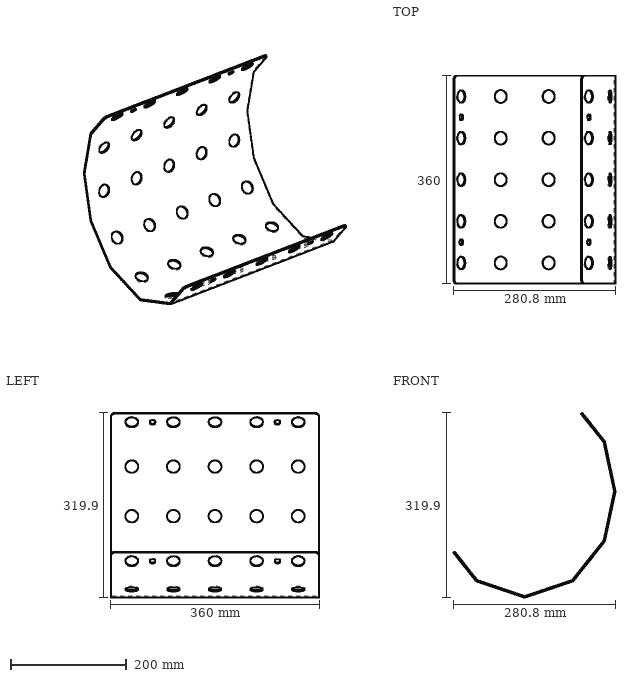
import cadquery as cq
import math

thickness = 3.0
length_y = 360.0
panel_width = 87.743
lip_overlap = 19.0
lip_width = panel_width / 2 + lip_overlap

bottom_tilt = 18.674
corner_tilt = 51.55
side_tilt = 77.967

inner_bend_radius = 3.0
outer_bend_radius = inner_bend_radius + thickness
lip_corner_radius = 7.0

large_hole_diameter = 22.0
large_hole_pitch = 72.0
large_hole_count = 5
small_hole_diameter = 10.0
small_hole_offset = 1.5 * large_hole_pitch
cutter_depth = 5 * thickness

panels = [
    (lip_width, -corner_tilt),
    (panel_width, -bottom_tilt),
    (panel_width, bottom_tilt),
    (panel_width, corner_tilt),
    (panel_width, side_tilt),
    (panel_width, 180 - side_tilt),
    (lip_width, 180 - corner_tilt),
]
directions = [math.radians(angle) for _, angle in panels]


def step(point, distance, angle):
    """Point reached by moving a distance along an angle in the XZ plane."""
    return (point[0] + distance * math.cos(angle), point[1] + distance * math.sin(angle))


def mid_surface_points():
    """Ends and bends of the mid-surface, in panel order."""
    bottom_half_span = panel_width * sum(
        math.sin(math.radians(tilt)) for tilt in (bottom_tilt, corner_tilt, side_tilt)
    )
    lowest_bend = (0.0, -bottom_half_span)
    left_bend = step(lowest_bend, -panel_width, directions[1])
    points = [step(left_bend, -lip_width, directions[0])]
    for (width, _), angle in zip(panels, directions):
        points.append(step(points[-1], width, angle))
    return points


def mitred_offset(points, offset):
    """Mid-surface points moved sideways; positive offsets go towards the inside."""
    before = [directions[0]] + directions
    after = directions + [directions[-1]]
    moved = []
    for point, angle_in, angle_out in zip(points, before, after):
        half_turn = (angle_out - angle_in) / 2
        inward = (angle_in + angle_out) / 2 + math.pi / 2
        moved.append(step(point, offset / math.cos(half_turn), inward))
    return moved


def edges_along_y(body, points):
    """The full-length edges of the body standing on the given XZ points."""
    tolerance = 0.01
    picked = [
        edge
        for edge in body.edges("|Y").vals()
        if any(math.dist((edge.Center().x, edge.Center().z), point) < tolerance for point in points)
    ]
    return body.newObject(picked)


def folded_sheet(points):
    """Bent sheet with rounded bends, centred on Y = 0."""
    inside = mitred_offset(points, thickness / 2)
    outside = mitred_offset(points, -thickness / 2)
    outline = cq.Workplane("XZ").polyline(inside + outside[::-1]).close()
    sheet = outline.extrude(length_y / 2, both=True)
    sheet = edges_along_y(sheet, inside[1:-1]).fillet(inner_bend_radius)
    return edges_along_y(sheet, outside[1:-1]).fillet(outer_bend_radius)


def round_lip_corners(sheet, points):
    """Round the four free corners of the two end lips."""
    corners = []
    for x, z in (points[0], points[-1]):
        for y in (-length_y / 2, length_y / 2):
            corner = cq.Vector(x, y, z)
            corners.append(min(sheet.edges().vals(), key=lambda edge: (edge.Center() - corner).Length))
    return sheet.newObject(corners).fillet(lip_corner_radius)


def hole_row(centre, angle, diameter, y_positions):
    """Cutters square to a panel, in a row along Y through an XZ point."""
    panel_plane = cq.Plane(
        origin=(centre[0], 0, centre[1]),
        xDir=(0, 1, 0),
        normal=(-math.sin(angle), 0, math.cos(angle)),
    )
    return (
        cq.Workplane(panel_plane)
        .pushPoints([(y, 0) for y in y_positions])
        .circle(diameter / 2)
        .extrude(cutter_depth, both=True)
    )


bend_points = mid_surface_points()
result = round_lip_corners(folded_sheet(bend_points), bend_points)

large_hole_ys = [(i - (large_hole_count - 1) / 2) * large_hole_pitch for i in range(large_hole_count)]
small_hole_ys = [-small_hole_offset, small_hole_offset]
left_lip_row = step(bend_points[1], -panel_width / 2, directions[0])
row_centres = [left_lip_row] + [
    step(bend, panel_width / 2, angle) for bend, angle in zip(bend_points[1:-1], directions[1:])
]
for centre, angle in zip(row_centres, directions):
    result = result.cut(hole_row(centre, angle, large_hole_diameter, large_hole_ys))
for lip in (0, -1):
    result = result.cut(hole_row(row_centres[lip], directions[lip], small_hole_diameter, small_hole_ys))